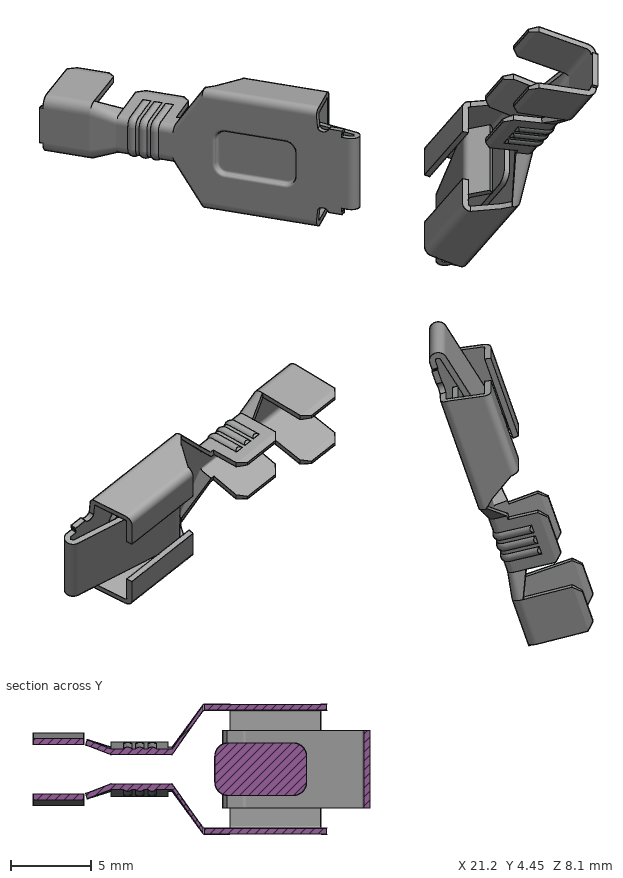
import cadquery as cq
import math

sheet = 0.38
part_length = 21.18

insulation_start, insulation_end = 0.23, 3.39
insulation_base_y = -0.25
insulation_half_flat = 1.19
insulation_bend = 0.72
insulation_lean = 6.2
insulation_top = 4.2
insulation_low_wall = 0.08

wire_start, wire_wing_end, wire_end = 5.06, 8.62, 8.87
wire_half_flat = 0.75
wire_bend = 0.53
wire_lean = 9.0
wire_top = 3.66
wire_low_wall = 0.76

wing_chamfer = 0.5
coin_length = 0.45
coin_inset = 0.1

rib_count = 3
rib_first_x = 6.1
rib_pitch = 0.76
rib_width = 0.53
rib_height = 0.1
rib_top = 2.5
rib_end_slope = 0.17

box_start, box_end = 10.82, 18.51
box_half_width = 4.05
box_height = 3.15
box_bend = 0.5
box_low_wall = 0.05
flange_edge_z = 1.74
wall_knee_x, wall_knee_y = 11.35, 1.04
wall_top_x = 12.45
box_roof_start, box_roof_end = 12.52, 18.07

panel_start, panel_end = 11.52, 17.25
panel_width = 3.28
panel_corner = 0.85
panel_depth = 0.35
panel_round = 0.17

neck_root_x, neck_root_z = 18.6, 2.77
notch_x, notch_z = 19.02, 2.58
ear_start, ear_end, ear_z = 19.34, 20.23, 2.84
relief_x, relief_z = 20.18, 2.63
spring_half_width = 2.41
fold_radius = 0.55
spring_slope = 12.3
spring_length = 7.33
peak_radius = 0.64
tip_slope = 45.0
tip_length = 1.4

down = 270


def trace_side(start, heading, steps, offset):
    """Points along one side of a bent sheet, as (arc middle or None, end) pairs.

    The outer side begins at `start` with direction `heading` in degrees; `offset` is measured to its
    left. A step is ("line", length) or ("bend", turn, outer radius), with left turns positive.
    """
    u, v = start
    angle = math.radians(heading)

    def shifted(distance):
        return (u - distance * math.sin(angle), v + distance * math.cos(angle))

    points = [(None, shifted(offset))]
    for kind, amount, *radius in steps:
        if kind == "line":
            u += amount * math.cos(angle)
            v += amount * math.sin(angle)
            points.append((None, shifted(offset)))
            continue
        to_centre = radius[0] if amount > 0 else sheet - radius[0]
        centre_u, centre_v = shifted(to_centre)
        reached = []
        for _ in range(2):
            angle += math.radians(amount) / 2
            u = centre_u + to_centre * math.sin(angle)
            v = centre_v - to_centre * math.cos(angle)
            reached.append(shifted(offset))
        points.append(tuple(reached))
    return points


def bent_strip(plane, start, heading, steps):
    """Closed outline of a bent sheet seen edge-on."""
    near_side = trace_side(start, heading, steps, 0)
    far_side = trace_side(start, heading, steps, sheet)
    outline = cq.Workplane(plane).moveTo(*start)
    for middle, end in near_side[1:]:
        outline = outline.threePointArc(middle, end) if middle else outline.lineTo(*end)
    outline = outline.lineTo(*far_side[-1][1])
    for index in range(len(far_side) - 1, 0, -1):
        middle = far_side[index][0]
        end = far_side[index - 1][1]
        outline = outline.threePointArc(middle, end) if middle else outline.lineTo(*end)
    return outline.close()


def half_channel(half_flat, bend, lean, wall):
    """Steps from the middle of the base to the end of one leaning side wall."""
    return [("line", half_flat), ("bend", 90 - lean, bend), ("line", wall)]


def channel_outline(x, base_y, steps):
    """Cross-section at `x` of half a channel, starting on the symmetry plane."""
    return bent_strip(cq.Plane.YZ((x, 0, 0)), (base_y, 0), down, steps)


def side_block(points):
    """Prism along Z that trims a half channel to its outline seen from the side."""
    return cq.Workplane("XY").polyline(points).close().extrude(-2 * box_half_width)


def crimp_barrel(start, end, base_y, half_flat, bend, lean, top):
    """Half of a crimp barrel: base, leaning wing, coined tip and cut wing corners."""
    tip_start = top - coin_length
    bend_top = base_y + bend * (1 - math.sin(math.radians(lean)))
    wall = (tip_start - bend_top) / math.cos(math.radians(lean))
    steps = half_channel(half_flat, bend, lean, wall)
    barrel = channel_outline(start, base_y, steps).extrude(end - start)

    overlong = coin_length + coin_inset
    tip_steps = steps + [("line", overlong)]
    tip = [
        trace_side((base_y, 0), down, path, offset)[-1][1]
        for path, offset in (
            (steps, 0),
            (tip_steps, coin_inset),
            (tip_steps, sheet - coin_inset),
            (steps, sheet),
        )
    ]
    barrel = barrel.union(cq.Workplane(cq.Plane.YZ((start, 0, 0))).polyline(tip).close().extrude(end - start))

    return barrel.intersect(side_block([
        (start, base_y),
        (end, base_y),
        (end, top - wing_chamfer),
        (end - wing_chamfer, top),
        (start + wing_chamfer, top),
        (start, top - wing_chamfer),
    ]))


def transition(first_x, first_y, first_steps, second_x, second_y, second_steps):
    """Half of a tapering channel between two cross-sections."""
    first = channel_outline(first_x, first_y, first_steps).val()
    second = channel_outline(second_x, second_y, second_steps).val()
    return cq.Workplane(cq.Solid.makeLoft([first, second], True))


insulation_low = half_channel(insulation_half_flat, insulation_bend, insulation_lean, insulation_low_wall)
wire_low = half_channel(wire_half_flat, wire_bend, wire_lean, wire_low_wall)
box_low = half_channel(box_half_width - box_bend, box_bend, 0, box_low_wall)

insulation_barrel = crimp_barrel(
    insulation_start, insulation_end, insulation_base_y,
    insulation_half_flat, insulation_bend, insulation_lean, insulation_top,
)
stub = channel_outline(0, insulation_base_y, [("line", insulation_half_flat)]).extrude(insulation_start)
wire_barrel = crimp_barrel(
    wire_start, wire_wing_end, 0, wire_half_flat, wire_bend, wire_lean, wire_top
)
wire_collar = channel_outline(wire_wing_end, 0, wire_low).extrude(wire_end - wire_wing_end)

wire_taper = transition(
    insulation_end, insulation_base_y, insulation_low, wire_start, 0, wire_low
)
box_taper = transition(wire_end, 0, wire_low, box_start, 0, box_low)


def wire_rib(x):
    """Half of a rounded rib that follows the outside of the wire barrel and fades out at its end."""
    bend_top = wire_bend * (1 - math.sin(math.radians(wire_lean)))
    wall = (rib_top - bend_top) / math.cos(math.radians(wire_lean))

    def rib_line(length, height):
        steps = half_channel(wire_half_flat, wire_bend, wire_lean, length)
        return trace_side((0, 0), down, steps, -height)

    path = cq.Workplane(cq.Plane.YZ((x, 0, 0))).moveTo(0, 0)
    for middle, end in rib_line(wall, 0)[1:]:
        path = path.threePointArc(middle, end) if middle else path.lineTo(*end)
    half_width = rib_width / 2
    section = (
        cq.Workplane("XY")
        .moveTo(x - half_width, rib_height)
        .lineTo(x - half_width, 0)
        .threePointArc((x, -rib_height), (x + half_width, 0))
        .lineTo(x + half_width, rib_height)
        .close()
    )

    wedge_reach = 2
    wedge_height = wedge_reach * rib_height
    wedge_length = wedge_reach * rib_end_slope
    wedge_corners = [
        rib_line(wall, 0)[-1][1],
        rib_line(wall, wedge_height)[-1][1],
        rib_line(wall - wedge_length, wedge_height)[-1][1],
    ]
    wedge = cq.Workplane(cq.Plane.YZ((x, 0, 0))).polyline(wedge_corners).close().extrude(rib_width, both=True)
    return section.sweep(path).cut(wedge)


box_steps = [
    ("line", box_half_width - box_bend),
    ("bend", 90, box_bend),
    ("line", box_height - 2 * box_bend),
    ("bend", 90, box_bend),
    ("line", box_half_width - box_bend - flange_edge_z),
]
box = channel_outline(box_start, 0, box_steps).extrude(box_end - box_start).intersect(side_block([
    (box_start, 0),
    (box_end, 0),
    (box_end, box_bend),
    (box_roof_end, box_height),
    (box_roof_start, box_height),
    (wall_top_x, box_height - box_bend),
    (wall_knee_x, wall_knee_y),
    (box_start, box_bend),
]))

neck = (
    cq.Workplane("XZ")
    .moveTo(box_end - sheet, 0)
    .lineTo(box_end - sheet, -neck_root_z)
    .lineTo(box_end, -(box_half_width - box_bend))
    .lineTo(neck_root_x, -neck_root_z)
    .threePointArc((notch_x, -notch_z), (ear_start, -ear_z))
    .lineTo(ear_end, -ear_z)
    .lineTo(ear_end, -relief_z)
    .lineTo(relief_x, -relief_z)
    .lineTo(relief_x, -spring_half_width)
    .lineTo(part_length - fold_radius, -spring_half_width)
    .lineTo(part_length - fold_radius, 0)
    .close()
    .extrude(-sheet)
)

spring = bent_strip("XY", (part_length - fold_radius, 0), 0, [
    ("bend", 180 - spring_slope, fold_radius),
    ("line", spring_length),
    ("bend", spring_slope + tip_slope, peak_radius),
    ("line", tip_length),
]).extrude(-spring_half_width)

half = insulation_barrel
for piece in (stub, wire_taper, wire_barrel, wire_collar, box_taper, box, neck, spring):
    half = half.union(piece)
for index in range(rib_count):
    half = half.union(wire_rib(rib_first_x + index * rib_pitch))
terminal = half.union(half.mirror("XY"))


def panel_block(margin, bottom, top):
    """Round-cornered block on the panel, grown by `margin` on every side."""
    return (
        cq.Workplane(cq.Plane.XZ((0, bottom, 0)))
        .center((panel_start + panel_end) / 2, 0)
        .rect(panel_end - panel_start + 2 * margin, panel_width + 2 * margin)
        .extrude(bottom - top)
        .edges("|Y")
        .fillet(panel_corner + margin)
    )


pad = panel_block(0, sheet, sheet + panel_depth)
recess = panel_block(-panel_round, 0, panel_depth).faces(">Y").edges().fillet(panel_round)
recess_mouth = cq.selectors.BoxSelector(
    (panel_start, -panel_round, -panel_width / 2),
    (panel_end, panel_round, panel_width / 2),
    boundingbox=True,
)
result = terminal.union(pad).cut(recess).edges(recess_mouth).fillet(panel_round)